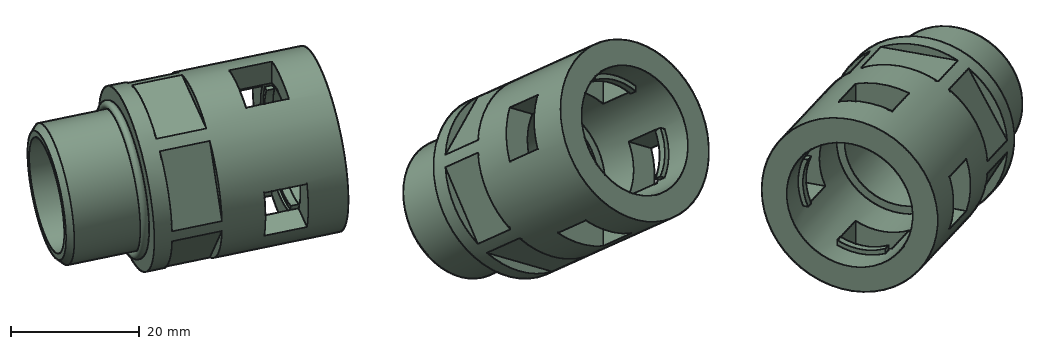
import cadquery as cq

total_length = 44.5
body_diameter = 29.55
bore_diameter = 18.45

spigot_diameter = 22.55
spigot_length = 12.95
spigot_chamfer = 1.02

ring_outer_diameter = 25.28
ring_thickness = 1.4

flat_count = 6
across_flats = 26.55
flats_start = 15.85
flats_length = 8.1

window_count = 4
window_start = 31.0
window_length = 6.95
window_width = 9.0

socket_diameter = 21.15
socket_start = flats_start + flats_length

tooth_tip_diameter = 19.6
tooth_width = 8.1
tooth_setback = 0.45
tooth_length = 1.35


def cylinder(diameter, start, length):
    """Cylinder along +Y, beginning at the given distance from the spigot end."""
    return cq.Workplane("XZ", origin=(0, start, 0)).circle(diameter / 2).extrude(-length)


def make_spigot():
    spigot = cylinder(spigot_diameter, 0, spigot_length)
    return spigot.faces("<Y").chamfer(spigot_chamfer)


def make_sealing_ring():
    tube_radius = ring_thickness / 2
    ring_radius = ring_outer_diameter / 2 - tube_radius
    return (
        cq.Workplane("XY")
        .center(ring_radius, spigot_length - tube_radius)
        .circle(tube_radius)
        .revolve(360, (-ring_radius, 0, 0), (-ring_radius, 1, 0))
    )


def cut_wrench_flats(body):
    band = cylinder(2 * body_diameter, flats_start, flats_length)
    hexagon = (
        cq.Workplane("XZ", origin=(0, flats_start, 0))
        .transformed(rotate=(0, 0, 180 / flat_count))
        .polygon(flat_count, across_flats, circumscribed=True)
        .extrude(-flats_length)
    )
    return body.cut(band.cut(hexagon))


def cut_windows(body):
    for index in range(window_count):
        window = (
            cq.Workplane("XY")
            .box(window_width, window_length, body_diameter, centered=(True, False, False))
            .translate((0, window_start, 0))
            .rotate((0, 0, 0), (0, 1, 0), index * 360 / window_count)
        )
        body = body.cut(window)
    return body


def make_teeth():
    start = window_start + window_length + tooth_setback
    wall_diameter = (body_diameter + socket_diameter) / 2
    ring = cylinder(wall_diameter, start, tooth_length)
    ring = ring.cut(cylinder(tooth_tip_diameter, start, tooth_length))
    across = (
        cq.Workplane("XY")
        .box(tooth_width, tooth_length, body_diameter, centered=(True, False, True))
        .translate((0, start, 0))
    )
    upright = across.rotate((0, 0, 0), (0, 1, 0), 90)
    return ring.intersect(across.union(upright))


body = cylinder(body_diameter, spigot_length, total_length - spigot_length)
body = body.cut(cylinder(socket_diameter, socket_start, total_length - socket_start))
body = cut_windows(cut_wrench_flats(body))

part = body.union(make_teeth()).union(make_spigot()).union(make_sealing_ring())
result = part.cut(cylinder(bore_diameter, 0, total_length))